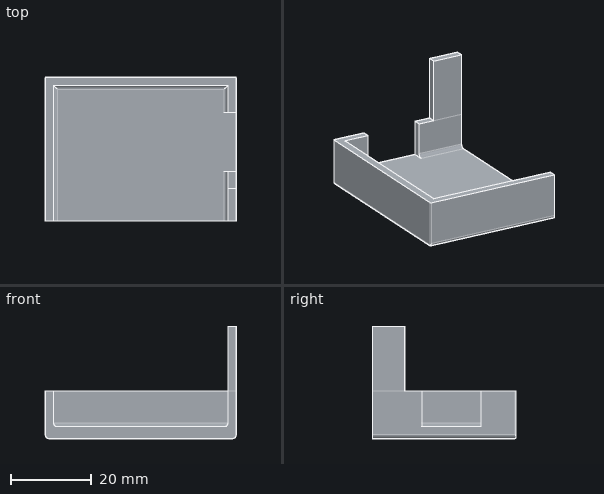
import cadquery as cq

length = 47.3
depth = 35.6
post_top = 27.8

floor_thickness = 3.0
wall_height = 8.9
wall_thickness = 2.1
rim_top = floor_thickness + wall_height

post_depth = 8.05
gap_start = 12.25
gap_end = 26.85

inner_radius = 0.95
bottom_radius = 1.0
back_corner_radius = 0.25
back_bottom_radius = 0.45


def box_between(x_range, y_range, z_range):
    """Box spanning the given lower and upper coordinates."""
    (x0, x1), (y0, y1), (z0, z1) = x_range, y_range, z_range
    return cq.Workplane("XY").box(x1 - x0, y1 - y0, z1 - z0, centered=False).translate((x0, y0, z0))


def make_shell():
    """Outer block: the overlap of three blocks, each rounded along one direction."""
    block = box_between((0, length), (0, depth), (0, rim_top))
    side_rounded = block.edges("|Y and <Z").fillet(bottom_radius)
    back_rounded = block.edges("|X and >Y and <Z").fillet(back_bottom_radius)
    corner_rounded = block.edges("|Z and >Y").fillet(back_corner_radius)
    return side_rounded.intersect(back_rounded).intersect(corner_rounded)


def make_cavity():
    """Cavity open at the front and top, rounded where the walls meet the floor."""
    cavity = box_between(
        (wall_thickness, length - wall_thickness),
        (-wall_thickness, depth - wall_thickness),
        (floor_thickness, rim_top),
    )
    return cavity.edges("<Z").edges("not <Y").fillet(inner_radius)


right_wall_gap = box_between(
    (length - wall_thickness - inner_radius, length),
    (gap_start, gap_end),
    (floor_thickness, rim_top),
)

post = box_between(
    (length - wall_thickness, length),
    (0, post_depth),
    (rim_top, post_top),
)

result = make_shell().cut(make_cavity()).cut(right_wall_gap).union(post, clean=False)